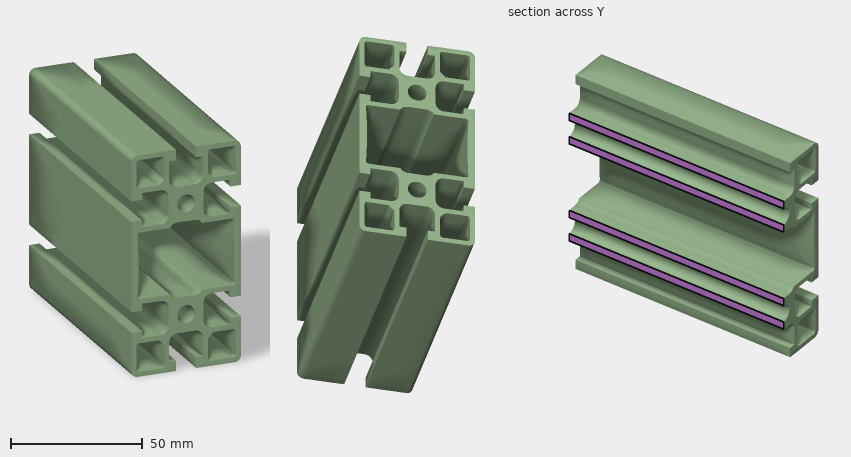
import cadquery as cq

length = 100.0
cell = 45.0
width = cell
height = 2 * cell
outer_radius = 2.5

cell_centers = (-cell / 2, cell / 2)
slot_opening = 8.3
slot_cavity_width = 13.9
core_half_width = 7.2
slot_depth = cell / 2 - core_half_width
lip_thickness = 4.3
slot_floor_radius = 3.3

core_bore = 7.3

wall = 2.0
hollow_size = cell / 2 - slot_cavity_width / 2 - 2 * wall
hollow_chamfer = 2.2
hollow_radius = 1.0

chamber_half_height = cell / 2 - slot_cavity_width / 2 - wall
chamber_half_width = 20.0
chamber_waist_half_width = 19.6
chamber_waist_half_height = 4.3
chamber_radius = 1.0
relief_half_height = cell / 2 - core_half_width


def prism(outline):
    """Extrude a closed YZ outline over the full length."""
    return outline.extrude(length)


def yz_plane():
    """Sketch plane on the -X end of the profile."""
    return cq.Workplane("YZ", origin=(-length / 2, 0, 0))


def t_slot():
    """T-slot cutter that opens upward at Z = 0 and is centred on Y = 0."""
    cavity_height = slot_depth - lip_thickness
    cavity_center = -lip_thickness - cavity_height / 2
    cavity = prism(yz_plane().center(0, cavity_center).rect(slot_cavity_width, cavity_height))
    cavity = cavity.edges("|X and <Z").fillet(slot_floor_radius)
    mouth = prism(yz_plane().center(0, -lip_thickness / 2).rect(slot_opening, lip_thickness))
    return cavity.union(mouth)


def corner_hollow():
    """Hollow for the +Y +Z corner, chamfered on the side that faces the core."""
    center_y = width / 2 - wall - hollow_size / 2
    center_z = height / 2 - wall - hollow_size / 2
    hollow = prism(yz_plane().center(center_y, center_z).rect(hollow_size, hollow_size))
    hollow = hollow.edges("|X and (>Y or >Z)").fillet(hollow_radius)
    return hollow.edges("|X and <Y and <Z").chamfer(hollow_chamfer)


def chamber():
    """Central hollow with thickened side walls and a rounded relief above and below."""
    right_side = [
        (chamber_half_width, -chamber_half_height),
        (chamber_waist_half_width, -chamber_waist_half_height),
        (chamber_waist_half_width, chamber_waist_half_height),
        (chamber_half_width, chamber_half_height),
    ]
    left_side = [(-y, -z) for y, z in right_side]
    hollow = prism(yz_plane().polyline(right_side + left_side).close())
    hollow = hollow.edges("|X and (<Z or >Z)").fillet(chamber_radius)
    relief = prism(yz_plane().rect(slot_cavity_width, 2 * relief_half_height))
    return hollow.union(relief.edges("|X").fillet(slot_floor_radius))


body = prism(yz_plane().rect(width, height)).edges("|X").fillet(outer_radius)

end_slot = t_slot().translate((0, 0, height / 2))
body = body.cut(end_slot).cut(end_slot.mirror("XY"))

side_slot = t_slot().rotate((0, 0, 0), (1, 0, 0), -90).translate((0, width / 2, 0))
for center_z in cell_centers:
    slot = side_slot.translate((0, 0, center_z))
    body = body.cut(slot).cut(slot.mirror("XZ"))
    body = body.cut(prism(yz_plane().center(0, center_z).circle(core_bore / 2)))

hollow = corner_hollow()
for cutter in (hollow, hollow.mirror("XZ")):
    body = body.cut(cutter).cut(cutter.mirror("XY"))

result = body.cut(chamber())